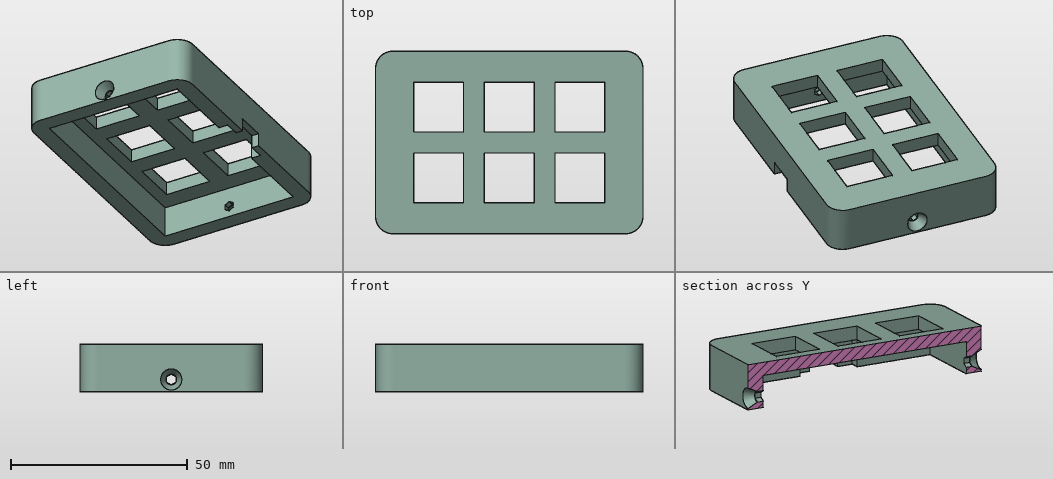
import cadquery as cq

length = 75.8
width = 51.8
height = 13.5
corner_radius = 5.0
side_wall = 5.0
top_thickness = 4.0

columns = 3
rows = 2
key_pitch = 20.0
key_size = 14.0

recess_width = 18.5
recess_wall = 2.1
notch_width = 9.1
notch_height = 4.0

screw_height = 3.5
hex_across_corners = 3.0
countersink_diameter = 6.0
countersink_depth = 3.0

cavity_height = height - top_thickness


def floor_box(size_x, size_y, size_z):
    """Box standing on the bottom plane, centred in X and Y."""
    return cq.Workplane("XY").box(size_x, size_y, size_z, centered=(True, True, False))


def make_case():
    case = floor_box(length, width, height).edges("|Z").fillet(corner_radius)
    cavity = floor_box(length - 2 * side_wall, width - 2 * side_wall, cavity_height)
    return case.cut(cavity)


def make_key_openings():
    return (
        cq.Workplane("XY")
        .rarray(key_pitch, key_pitch, columns, rows)
        .rect(key_size, key_size)
        .extrude(height)
    )


def make_connector_cut():
    """Recess and cable notch, both running from the middle to the +Y wall."""
    recess_reach = width / 2 - recess_wall
    recess = floor_box(recess_width, recess_reach, cavity_height).translate((0, recess_reach / 2, 0))
    notch = floor_box(notch_width, width / 2, notch_height).translate((0, width / 4, 0))
    return recess.union(notch)


def make_screw_holes():
    hexagon = (
        cq.Workplane("YZ", origin=(-length / 2, 0, screw_height))
        .transformed(rotate=(0, 0, 90))
        .polygon(6, hex_across_corners)
        .extrude(length)
    )
    holes = hexagon
    for end in (-1, 1):
        countersink = cq.Solid.makeCone(
            countersink_diameter / 2,
            hex_across_corners / 2,
            countersink_depth,
            cq.Vector(end * length / 2, 0, screw_height),
            cq.Vector(-end, 0, 0),
        )
        holes = holes.union(cq.Workplane(obj=countersink))
    return holes


result = make_case().cut(make_key_openings()).cut(make_connector_cut()).cut(make_screw_holes())